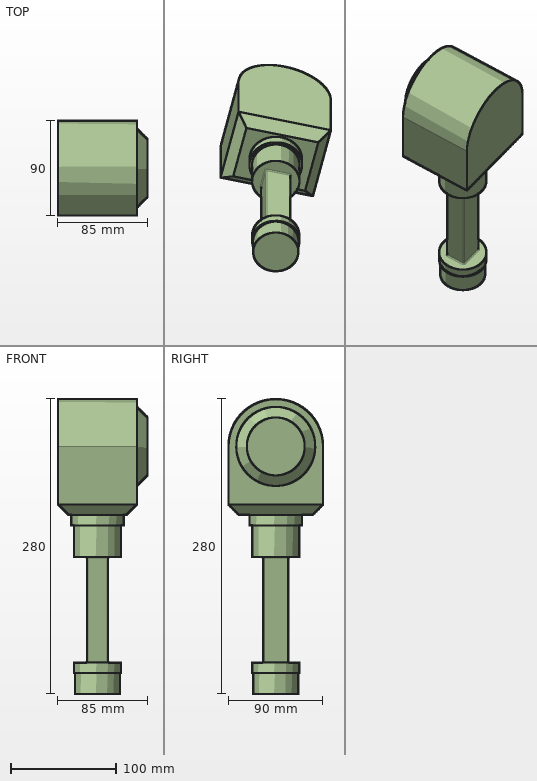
import cadquery as cq

foot_diameter = 43.0
foot_height = 20.0
foot_collar_diameter = 45.0
foot_collar_height = 10.0

shaft_width = 20.0
shaft_depth = 24.0
shaft_length = 100.0
shaft_edge_radius = 1.0
shaft_end_fillet = 1.0

neck_diameter = 45.0
neck_height = 30.0
flange_diameter = 50.0
flange_height = 10.0

head_length = 75.0
head_width = 90.0
head_height = 110.0
head_bottom_chamfer = 10.0

boss_base_diameter = 75.0
boss_height = 10.0
boss_end_diameter = boss_base_diameter - 2 * boss_height

foot_bottom = 0.0
foot_collar_bottom = foot_bottom + foot_height
shaft_bottom = foot_collar_bottom + foot_collar_height
neck_bottom = shaft_bottom + shaft_length
flange_bottom = neck_bottom + neck_height
head_bottom = flange_bottom + flange_height
head_radius = head_width / 2
head_axis_level = head_bottom + head_height - head_radius


def round_section(diameter, height, bottom):
    """Cylinder on the Z axis."""
    return cq.Workplane("XY").workplane(offset=bottom).circle(diameter / 2).extrude(height)


def make_head():
    """Arched block with its four bottom edges chamfered."""
    arch = (
        cq.Workplane("YZ")
        .workplane(offset=-head_length / 2)
        .moveTo(-head_radius, head_bottom)
        .lineTo(head_radius, head_bottom)
        .lineTo(head_radius, head_axis_level)
        .threePointArc((0, head_axis_level + head_radius), (-head_radius, head_axis_level))
        .close()
        .extrude(head_length)
    )
    return arch.faces("<Z").edges().chamfer(head_bottom_chamfer)


def make_boss():
    """Truncated cone coaxial with the arch of the head."""
    cone = cq.Solid.makeCone(
        boss_base_diameter / 2,
        boss_end_diameter / 2,
        boss_height,
        pnt=cq.Vector(head_length / 2, 0, head_axis_level),
        dir=cq.Vector(1, 0, 0),
    )
    return cq.Workplane(cone)


def make_shaft():
    """Rectangular bar with rounded long edges."""
    bar = cq.Workplane("XY").workplane(offset=shaft_bottom).rect(shaft_width, shaft_depth)
    return bar.extrude(shaft_length).edges("|Z").fillet(shaft_edge_radius)


def fillet_shaft_ends(body):
    """Blend the shaft into the foot collar and the neck."""
    clearance = 0.5
    reach_x = shaft_width / 2 + clearance
    reach_y = shaft_depth / 2 + clearance
    for level in (shaft_bottom, neck_bottom):
        low_corner = (-reach_x, -reach_y, level - clearance)
        high_corner = (reach_x, reach_y, level + clearance)
        joint = cq.selectors.BoxSelector(low_corner, high_corner, boundingbox=True)
        body = body.edges(joint).fillet(shaft_end_fillet)
    return body


def make_stem():
    """Foot, shaft and neck, blended together."""
    foot = round_section(foot_diameter, foot_height, foot_bottom)
    foot_collar = round_section(foot_collar_diameter, foot_collar_height, foot_collar_bottom)
    neck = round_section(neck_diameter, neck_height, neck_bottom)
    return fillet_shaft_ends(foot.union(foot_collar).union(make_shaft()).union(neck))


flange = round_section(flange_diameter, flange_height, flange_bottom)
result = make_stem().union(flange).union(make_head()).union(make_boss())